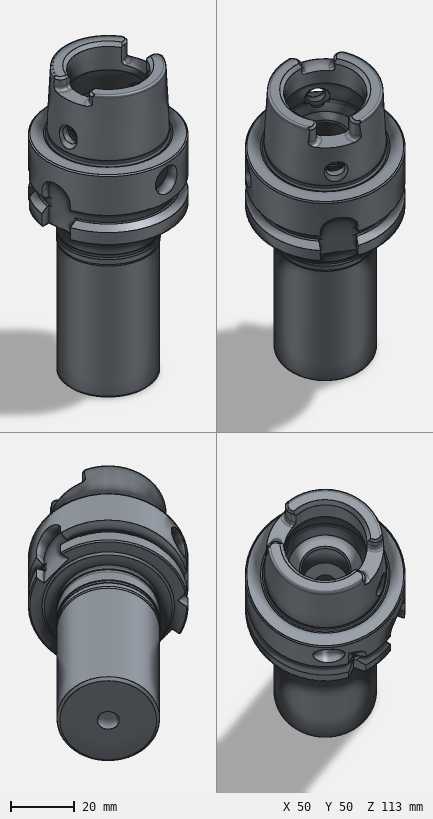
import cadquery as cq
import math


overall_length = 113
top_z = 25.0
bottom_z = top_z - overall_length
flange_radius = 50.0 / 2

taper_ratio = 0.05
taper_base_z = 1.8
taper_base_radius = 19.2
relief_radius = 38.0 / 2
relief_step_z = 1.5
root_fillet = 0.7
recess_depth = 0.2
recess_outer_radius = 20.2
taper_top_radius = taper_base_radius - taper_ratio * (top_z - taper_base_z)
lip_round = 0.8

flange_chamfer = 0.5
flange_bottom_z = -26.0
groove_mid_z = -18.0
groove_root_radius = 21.6
groove_floor_half = 1.6
groove_mouth_half = 3.2
groove_slope_radius = 22.5
hub_radius = 20.7
hub_bottom_z = -26.7
hub_chamfer = 0.7

collar_radius = 32.5 / 2
collar_bottom_z = -38.4
collar_groove_radius = 32.0 / 2
neck_radius = 16.2
neck_bottom_z = -27.8
upper_groove_top_z = -28.9
upper_groove_bottom_z = -30.5
lower_groove_top_z = -34.9
lower_groove_bottom_z = -36.6
lower_groove_run_out = 0.7
body_radius = 16.0
body_top_z = -39.1
body_end_chamfer = 0.9

mouth_radius = 26 / 2
mouth_chamfer = 1.2
mouth_end_z = 15.0
chamber_radius = 14.5
shoulder_angle = 30
chamber_cone_z = 6.5
bevel_radius = 13.9
bevel_z = 5.6
floor_radius = 11.9
thread_radius = 14.9 / 2
thread_chamfer = 0.6
thread_depth = 11.3
through_radius = 6.8 / 2

slot_half_width = 10.5 / 2
slot_flare_y = 13.6
slot_flare_radius = 2.7
slot_flare_length = 2.8
slot_floor_fillet = 1.5
slot_top_chamfer = 0.8
front_slot_depth = 4.5
back_slot_depth = 7.5

clamp_hole_z = 7.5
clamp_hole_radius = 6.0 / 2
clamp_hole_chamfer = 1.1
clamp_hole_start = 13.0
clamp_rim_start = 13.8
clamp_hole_overrun = 0.6

keyway_half_width = 6.0
keyway_top_z = -7.0
keyway_floor = 21.0
notch_corner = 15.5
notch_radius = 5.5
notch_arc_z = -12.4
blind_hole_radius = 10.0 / 2
blind_hole_z = -6.8
blind_hole_floor = 20.5
blind_hole_angles = (0, 204)

cos_45 = math.sqrt(0.5)
cutter_reach = flange_radius


def run_out_middle(start_radius, start_z, end_z):
    """Middle point of an arc that leaves the start radius upright and ends at the collar radius."""
    return start_radius + (collar_radius - start_radius) / 4, (start_z + end_z) / 2


def outer_body():
    """Turned outside shape."""
    lip_mid = lip_round * (1 - cos_45)
    root_mid = root_fillet * (1 - cos_45)
    return (
        cq.Workplane("XZ")
        .moveTo(0, top_z)
        .lineTo(taper_top_radius - lip_round, top_z)
        .threePointArc(
            (taper_top_radius - lip_mid, top_z - lip_mid),
            (taper_top_radius + taper_ratio * lip_round, top_z - lip_round),
        )
        .lineTo(taper_base_radius, taper_base_z)
        .lineTo(relief_radius, relief_step_z)
        .lineTo(relief_radius, root_fillet - recess_depth)
        .threePointArc(
            (relief_radius + root_mid, root_mid - recess_depth),
            (relief_radius + root_fillet, -recess_depth),
        )
        .lineTo(recess_outer_radius, 0)
        .lineTo(flange_radius - flange_chamfer, 0)
        .lineTo(flange_radius, -flange_chamfer)
        .lineTo(flange_radius, groove_mid_z + groove_mouth_half)
        .lineTo(groove_slope_radius, groove_mid_z + groove_floor_half)
        .lineTo(groove_root_radius, groove_mid_z + groove_floor_half)
        .lineTo(groove_root_radius, groove_mid_z - groove_floor_half)
        .lineTo(groove_slope_radius, groove_mid_z - groove_floor_half)
        .lineTo(flange_radius, groove_mid_z - groove_mouth_half)
        .lineTo(flange_radius, flange_bottom_z + flange_chamfer)
        .lineTo(flange_radius - flange_chamfer, flange_bottom_z)
        .lineTo(hub_radius, flange_bottom_z)
        .lineTo(hub_radius - hub_chamfer, hub_bottom_z)
        .lineTo(neck_radius, hub_bottom_z)
        .threePointArc(
            run_out_middle(neck_radius, hub_bottom_z, neck_bottom_z),
            (collar_radius, neck_bottom_z),
        )
        .lineTo(collar_radius, upper_groove_top_z)
        .lineTo(collar_groove_radius, upper_groove_top_z)
        .threePointArc(
            run_out_middle(collar_groove_radius, upper_groove_top_z, upper_groove_bottom_z),
            (collar_radius, upper_groove_bottom_z),
        )
        .lineTo(collar_radius, lower_groove_top_z)
        .lineTo(collar_groove_radius, lower_groove_top_z)
        .lineTo(collar_groove_radius, lower_groove_bottom_z + lower_groove_run_out)
        .lineTo(collar_radius, lower_groove_bottom_z)
        .lineTo(collar_radius, collar_bottom_z)
        .lineTo(body_radius, body_top_z)
        .lineTo(body_radius, bottom_z + body_end_chamfer)
        .lineTo(body_radius - body_end_chamfer, bottom_z)
        .lineTo(0, bottom_z)
        .close()
        .revolve(360, (0, 0, 0), (0, 1, 0))
    )


def inner_cavity():
    """Turned inside shape: mouth, undercut chamber, threaded bore and through hole."""
    shoulder_height = (chamber_radius - mouth_radius) * math.tan(math.radians(shoulder_angle))
    floor_z = bevel_z - (bevel_radius - floor_radius)
    return (
        cq.Workplane("XZ")
        .moveTo(0, top_z)
        .lineTo(mouth_radius + mouth_chamfer, top_z)
        .lineTo(mouth_radius, top_z - mouth_chamfer)
        .lineTo(mouth_radius, mouth_end_z)
        .lineTo(chamber_radius, mouth_end_z - shoulder_height)
        .lineTo(chamber_radius, chamber_cone_z)
        .lineTo(bevel_radius, bevel_z)
        .lineTo(floor_radius, floor_z)
        .lineTo(thread_radius + thread_chamfer, floor_z)
        .lineTo(thread_radius, floor_z - thread_chamfer)
        .lineTo(thread_radius, floor_z - thread_depth)
        .lineTo(through_radius, floor_z - thread_depth)
        .lineTo(through_radius, bottom_z)
        .lineTo(0, bottom_z)
        .close()
        .revolve(360, (0, 0, 0), (0, 1, 0))
    )


def slot_outline(z):
    """Slot plan at height z on the +Y side: straight walls that round outwards at the mouth."""
    flare_x = slot_half_width + slot_flare_radius
    end_x = flare_x + slot_flare_length
    flare_y = slot_flare_y + slot_flare_radius
    arc_x = flare_x - slot_flare_radius * cos_45
    arc_y = slot_flare_y + slot_flare_radius * cos_45
    return (
        cq.Workplane("XY", origin=(0, 0, z))
        .moveTo(-slot_half_width, 0)
        .lineTo(slot_half_width, 0)
        .lineTo(slot_half_width, slot_flare_y)
        .threePointArc((arc_x, arc_y), (flare_x, flare_y))
        .lineTo(end_x, flare_y)
        .lineTo(end_x, flange_radius)
        .lineTo(-end_x, flange_radius)
        .lineTo(-end_x, flare_y)
        .lineTo(-flare_x, flare_y)
        .threePointArc((-arc_x, arc_y), (-slot_half_width, slot_flare_y))
        .close()
    )


def drive_slot(depth):
    """Cutter for a drive slot on the +Y side, with rounded floor edges and chamfered top edges."""
    channel = slot_outline(top_z - depth).extrude(depth).faces("<Z").edges().fillet(slot_floor_fillet)
    top_flare = slot_outline(top_z - slot_top_chamfer).extrude(slot_top_chamfer, taper=-45)
    return channel.union(top_flare)


def clamp_hole():
    """Cutter for one clamping hole on the -Y side, chamfered where it enters and leaves the wall."""
    wall_outer = taper_base_radius - taper_ratio * (clamp_hole_z - taper_base_z)
    rim_radius = clamp_hole_radius + clamp_hole_chamfer
    return (
        cq.Workplane("XY", origin=(0, 0, clamp_hole_z))
        .moveTo(0, -clamp_hole_start)
        .lineTo(clamp_hole_radius, -clamp_hole_start)
        .lineTo(clamp_hole_radius, -clamp_rim_start)
        .lineTo(rim_radius, -clamp_rim_start)
        .lineTo(rim_radius, -chamber_radius)
        .lineTo(clamp_hole_radius, -chamber_radius - clamp_hole_chamfer)
        .lineTo(clamp_hole_radius, -wall_outer + clamp_hole_chamfer)
        .lineTo(rim_radius + clamp_hole_overrun, -wall_outer - clamp_hole_overrun)
        .lineTo(0, -wall_outer - clamp_hole_overrun)
        .close()
        .revolve(360, (0, 0, 0), (0, 1, 0))
    )


def round_top_slot(center_x, half_width, arc_z, floor_y):
    """Cutter open towards -Y and downwards, with a half-round top and a flat floor."""
    return (
        cq.Workplane("XZ", origin=(0, -floor_y, 0))
        .moveTo(center_x - half_width, hub_bottom_z)
        .lineTo(center_x + half_width, hub_bottom_z)
        .lineTo(center_x + half_width, arc_z)
        .threePointArc((center_x, arc_z + half_width), (center_x - half_width, arc_z))
        .close()
        .extrude(cutter_reach)
    )


def blind_hole(angle):
    """Cutter for a flat-bottomed radial hole in the flange."""
    return (
        cq.Workplane("YZ", origin=(blind_hole_floor, 0, 0))
        .center(0, blind_hole_z)
        .circle(blind_hole_radius)
        .extrude(cutter_reach)
        .rotate((0, 0, 0), (0, 0, 1), angle)
    )


result = outer_body().cut(inner_cavity())

result = result.cut(drive_slot(back_slot_depth))
result = result.cut(drive_slot(front_slot_depth).mirror("XZ"))
result = result.cut(clamp_hole()).cut(clamp_hole().mirror("XZ"))

keyway = round_top_slot(0, keyway_half_width, keyway_top_z - keyway_half_width, keyway_floor)
notch = round_top_slot(-notch_corner - notch_radius, notch_radius, notch_arc_z, notch_corner)
result = result.cut(keyway).cut(keyway.mirror("XZ")).cut(notch)

for angle in blind_hole_angles:
    result = result.cut(blind_hole(angle))